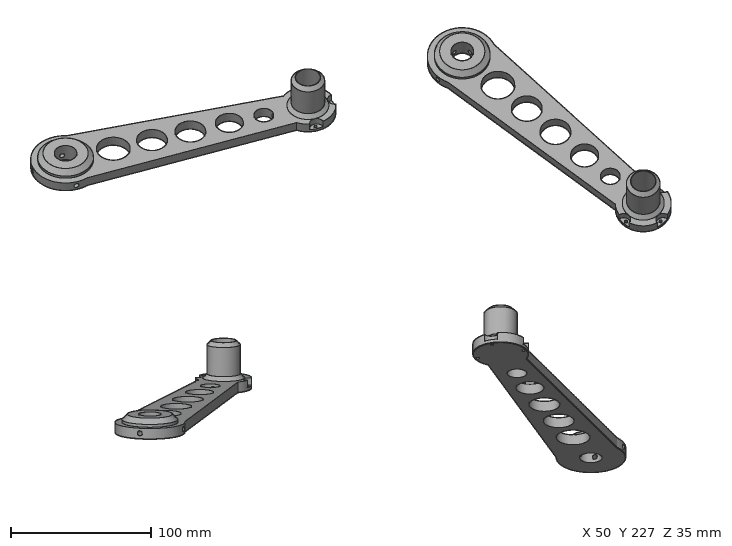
import cadquery as cq
import math

total_length = 227.0
total_height = 35.0
large_radius = 25.0
small_radius = 20.0
pin_y = total_length - large_radius - small_radius
plate_height = 8.0
bottom_chamfer = 0.5
large_neck_y = 8.9
small_neck_drop = 13.5

hub_radius = 20.0
hub_rim_height = 2.0
hub_bevel = 3.9
hub_bore_diameter = 16.0

pin_radius = 12.0
pin_bevel = 3.0
pin_bore_diameter = 17.7
pin_foot = 3.0

lightening_holes = [(35.9, 24.0), (65.0, 22.0), (93.7, 22.0), (123.0, 20.0), (148.9, 14.0)]

passage_diameter = 3.6
passage_z = 4.3
feed_hole_diameter = 6.0

notch_angles = [0, 90, 180]
notch_radius = 5.0
notch_floor_z = 2.7
notch_hole_diameter = 2.2
notch_hole_offset = 17.5


def cylinder(diameter, x, y, bottom, top):
    """Vertical cylinder between two heights."""
    base = cq.Workplane("XY", origin=(x, y, bottom))
    return base.circle(diameter / 2).extrude(top - bottom)


def make_plate():
    """Tapered arm outline with round ends, bevelled along its bottom edge."""
    large_neck_x = math.sqrt(large_radius**2 - large_neck_y**2)
    small_neck_x = math.sqrt(small_radius**2 - small_neck_drop**2)
    small_neck_y = pin_y - small_neck_drop
    outline = (
        cq.Workplane("XY")
        .moveTo(-large_neck_x, large_neck_y)
        .threePointArc((0, -large_radius), (large_neck_x, large_neck_y))
        .lineTo(small_neck_x, small_neck_y)
        .threePointArc((0, pin_y + small_radius), (-small_neck_x, small_neck_y))
        .close()
    )
    return outline.extrude(plate_height).faces("<Z").chamfer(bottom_chamfer)


def make_hub():
    """Raised disc with a bevelled top edge, standing on the plate."""
    top = plate_height + hub_rim_height + hub_bevel
    hub = cylinder(2 * hub_radius, 0, 0, plate_height, top)
    return hub.faces(">Z").chamfer(hub_bevel)


def make_pin():
    """Upright pin with a conical foot and a bevelled top."""
    pin = cylinder(2 * pin_radius, 0, pin_y, plate_height, total_height)
    pin = pin.faces(">Z").chamfer(pin_bevel)
    foot_base = cq.Workplane("XY", origin=(0, pin_y, plate_height)).circle(pin_radius + pin_foot)
    foot = foot_base.extrude(pin_foot, taper=45)
    return pin.union(foot)


def cut_bores(body):
    """Through bore in the hub, blind bore in the pin and the lightening holes."""
    body = body.cut(cylinder(hub_bore_diameter, 0, 0, 0, total_height))
    body = body.cut(cylinder(pin_bore_diameter, 0, pin_y, plate_height, total_height))
    for y, diameter in lightening_holes:
        body = body.cut(cylinder(diameter, 0, y, 0, plate_height))
    return body


def cut_passages(body):
    """Cross and end holes into the hub bore, and a passage from the last arm hole to the pin."""
    cross = cq.Workplane("YZ", origin=(0, 0, passage_z)).circle(passage_diameter / 2)
    body = body.cut(cross.extrude(large_radius, both=True))
    end_hole = cq.Workplane("XZ", origin=(0, 0, passage_z)).circle(passage_diameter / 2)
    body = body.cut(end_hole.extrude(large_radius))
    last_hole_y = lightening_holes[-1][0]
    feed = cq.Workplane("XZ", origin=(0, pin_y, passage_z)).circle(passage_diameter / 2)
    body = body.cut(feed.extrude(pin_y - last_hole_y))
    return body.cut(cylinder(feed_hole_diameter, 0, pin_y, passage_z, plate_height))


def cut_notches(body):
    """Round notches in the rim of the small end with a through hole in each floor."""
    for angle in notch_angles:
        along_x = math.cos(math.radians(angle))
        along_y = math.sin(math.radians(angle))
        notch = cylinder(
            2 * notch_radius,
            small_radius * along_x,
            pin_y + small_radius * along_y,
            notch_floor_z,
            plate_height,
        )
        hole = cylinder(
            notch_hole_diameter,
            notch_hole_offset * along_x,
            pin_y + notch_hole_offset * along_y,
            0,
            plate_height,
        )
        body = body.cut(notch).cut(hole)
    return body


arm = make_plate().union(make_hub()).union(make_pin())
result = cut_notches(cut_passages(cut_bores(arm)))